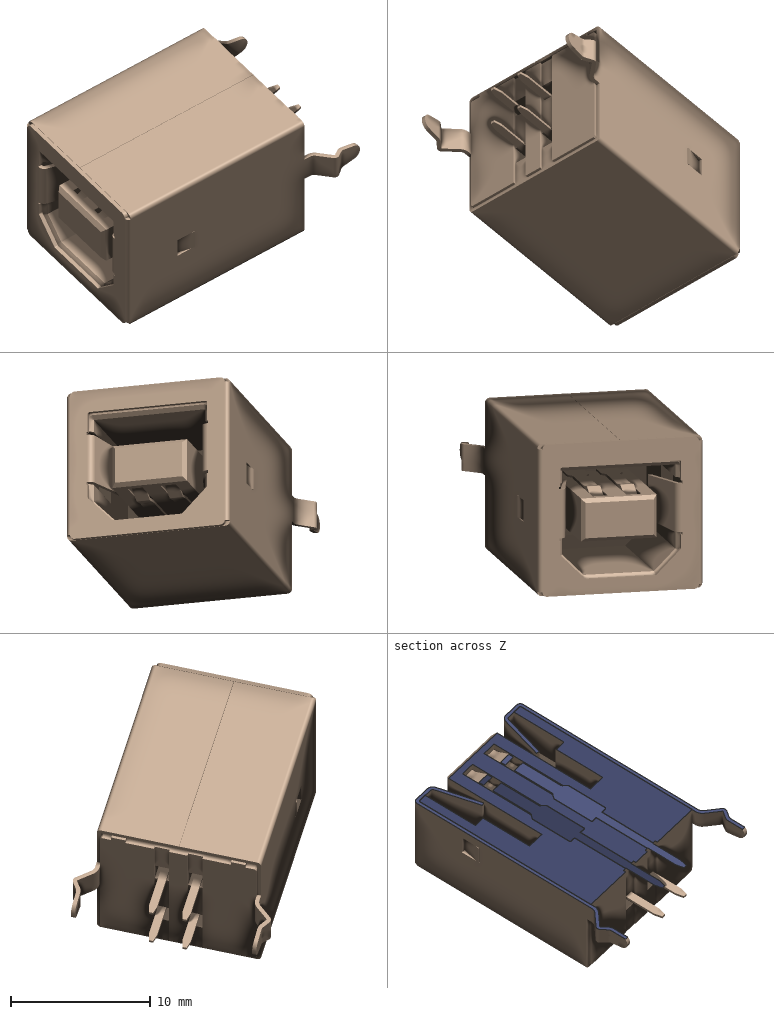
import cadquery as cq
import math


SHEET = 0.3
SHELL_WIDTH = 12.2
SHELL_HEIGHT = 11.2
SHELL_REAR = 15.91
SHELL_CORNER = 0.33
JOINT_GAP = 0.02
INNER_HALF_WIDTH = SHELL_WIDTH / 2 - SHEET
INNER_HALF_HEIGHT = SHELL_HEIGHT / 2 - SHEET

PLATE_HALF_WIDTH = INNER_HALF_WIDTH
PLATE_CORNER = 0.35
FOLD_HEIGHT = 10.53

OPENING_HALF_WIDTH = 4.47
OPENING_TOP = 3.92
OPENING_BOTTOM = -4.47
OPENING_SLOPE = 1.89
OPENING_CORNER = 0.15

SPRING_Z = 0.43
SPRING_ROOT_HEIGHT = 3.58
SPRING_TIP_HEIGHT = 3.21
SPRING_TIP_Y = 4.06
SPRING_TIP_X = 3.0
SPRING_BEND = 0.2
SPRING_BEND_X = 4.08
SPRING_ROOT_X = 5.08
RELIEF_HEIGHT = 0.2
RELIEF_DEPTH = 0.08

RETENTION_Z = 0.87
RETENTION_WIDTH = 1.97
RETENTION_TAPER_Y = 18.06
RETENTION_TIP_Y = 20.32
RETENTION_ROUND_Y = 19.8
RETENTION_TIP_WIDTH = 1.32
RETENTION_FOOT_Y = 16.7
RETENTION_KNEE = (7.25, 17.9)
RETENTION_END = (6.73, 18.65)
RETENTION_BENDS = [0.53, 0.05, 0.35]

INSULATOR_FRONT = SHEET
INSULATOR_REAR = 16.11
INSULATOR_TOP = 5.0
INSULATOR_CHAMFER = 0.12
RIB_INNER_X = 3.92
RIB_OUTER_X = 4.98

CAVITY_HALF_WIDTH = 4.19
CAVITY_TOP = 3.5
CAVITY_BOTTOM = -4.27
CAVITY_SLOPE = 1.58
CAVITY_BACK = 9.15
CAVITY_CHAMFER = 0.28

SPRING_POCKET_X = 5.08
SPRING_POCKET_BOTTOM = -1.42
SPRING_POCKET_TOP = 2.58
SPRING_POCKET_REAR = 4.88

TONGUE_WIDTH = 5.6
TONGUE_HEIGHT = 3.17
TONGUE_Z = -0.22
TONGUE_CHAMFER = 0.28

SLOT_WIDTH = 1.12
SLOT_FRONT = 1.1
SLOT_DEPTH = 0.9
WINDOW_REACH = 3.03

CATCH_FRONT = 4.5
CATCH_REAR = 6.1
CATCH_GAP = 0.06
CATCH_HEIGHT = 1.58
CATCH_Z = -0.22
CATCH_PROUD = 0.06

CONTACT_SPACING = 2.48
CONTACT_THICKNESS = 0.2
CONTACT_TIP_Y = 19.15
CONTACT_OFFSET = 1.63
CONTACT_BENDS = [0.4, 0.1, 0.5]
CONTACT_PATH = [
    (CONTACT_TIP_Y, CONTACT_OFFSET),
    (4.06, CONTACT_OFFSET),
    (3.15, 1.77),
    (1.5, 0.95),
    (1.14, 0.95),
]
BEAM_WIDTH = 1.0
SHOULDER_WIDTH = 1.58
SHOULDER_FRONT = 7.32
SHOULDER_TAPER = 0.4
SHOULDER_REAR = 11.18
PIN_WIDTH = 0.6
PIN_TIP_WIDTH = 0.3
PIN_TAPER = 0.65


def box(x_range, y_range, z_range):
    """Block spanning the given X, Y and Z ranges."""
    size = [high - low for low, high in (x_range, y_range, z_range)]
    return cq.Workplane().box(*size, centered=False).translate((x_range[0], y_range[0], z_range[0]))


def front_workplane(y):
    """Plane at the given Y whose local axes are X and Z, and whose extrusions run toward +Y."""
    return cq.Workplane(cq.Plane(origin=(0, y, 0), xDir=(1, 0, 0), normal=(0, -1, 0)))


def both_sides(solid):
    """The solid together with its mirror image in X."""
    return solid.union(solid.mirror("YZ"))


def socket_outline(plane, half_width, top, bottom, slope):
    """Rectangle whose two lower corners are cut off at 45 degrees."""
    return plane.polyline([
        (-half_width, top),
        (half_width, top),
        (half_width, bottom + slope),
        (half_width - slope, bottom),
        (slope - half_width, bottom),
        (-half_width, bottom + slope),
    ]).close()


def bent_strip(plane, path, thickness, half_width, bends):
    """Strip of sheet that follows a path in the plane, with rounded bends of the given inner radii."""
    count = len(path)
    headings = [math.atan2(b[1] - a[1], b[0] - a[0]) for a, b in zip(path, path[1:])]
    left, right, turns = [], [], []
    for i in range(count):
        before = headings[max(i - 1, 0)]
        after = headings[min(i, count - 2)]
        half_turn = (after - before) / 2
        reach = thickness / 2 / math.cos(half_turn)
        across = before + half_turn + math.pi / 2
        dx = reach * math.cos(across)
        dy = reach * math.sin(across)
        left.append((path[i][0] + dx, path[i][1] + dy))
        right.append((path[i][0] - dx, path[i][1] - dy))
        turns.append(half_turn)

    strip = cq.Workplane(plane).polyline(left + right[::-1]).close().extrude(half_width, both=True)
    for i, bend in enumerate(bends, start=1):
        inner, outer = (left[i], right[i]) if turns[i] > 0 else (right[i], left[i])
        for corner, radius in ((inner, bend), (outer, bend + thickness)):
            place = cq.Plane.named(plane).toWorldCoords(corner)
            strip = strip.edges(cq.NearestToPointSelector(place.toTuple())).fillet(radius)
    return strip


def shell_tube():
    length = SHELL_REAR - SHEET
    outside = (
        front_workplane(SHEET).rect(SHELL_WIDTH, SHELL_HEIGHT).extrude(-length)
        .edges("|Y").fillet(SHELL_CORNER)
    )
    inside = front_workplane(SHEET).rect(2 * INNER_HALF_WIDTH, 2 * INNER_HALF_HEIGHT).extrude(-length)
    seam = box(
        (-JOINT_GAP / 2, JOINT_GAP / 2),
        (SHEET, SHELL_REAR),
        (INNER_HALF_HEIGHT, SHELL_HEIGHT / 2),
    )
    front_joints = box(
        (-PLATE_HALF_WIDTH, PLATE_HALF_WIDTH),
        (SHEET, SHEET + JOINT_GAP),
        (-SHELL_HEIGHT / 2, SHELL_HEIGHT / 2),
    )
    return outside.cut(inside).cut(seam).cut(front_joints)


def front_plate():
    plate = (
        front_workplane(0).rect(2 * PLATE_HALF_WIDTH, SHELL_HEIGHT).extrude(-SHEET)
        .edges("|Y").fillet(PLATE_CORNER)
    )
    opening = (
        socket_outline(
            front_workplane(0), OPENING_HALF_WIDTH, OPENING_TOP, OPENING_BOTTOM, OPENING_SLOPE
        )
        .extrude(-SHEET).edges("|Y").fillet(OPENING_CORNER)
    )
    fold = (
        cq.Workplane().moveTo(PLATE_HALF_WIDTH, 0)
        .radiusArc((SHELL_WIDTH / 2, SHEET), -SHEET)
        .lineTo(PLATE_HALF_WIDTH, SHEET).close()
        .extrude(FOLD_HEIGHT / 2, both=True)
    )
    return plate.cut(opening).union(both_sides(fold))


def spring_reliefs():
    """Slits in the edge of the opening that free both spring tabs."""
    half = SPRING_ROOT_HEIGHT / 2
    edge = OPENING_HALF_WIDTH + RELIEF_DEPTH
    slit = box((SPRING_TIP_X, edge), (0, SHEET), (half, half + RELIEF_HEIGHT))
    slits = slit.union(slit.mirror("XY")).translate((0, 0, SPRING_Z))
    return both_sides(slits)


def spring_tabs():
    middle = SHEET / 2
    path = [
        (SPRING_ROOT_X, middle),
        (SPRING_BEND_X + middle, middle),
        (SPRING_TIP_X + middle, SPRING_TIP_Y),
    ]
    strip = bent_strip("XY", path, SHEET, SPRING_ROOT_HEIGHT / 2, [SPRING_BEND])
    root = SPRING_ROOT_HEIGHT / 2
    tip = SPRING_TIP_HEIGHT / 2
    bend_end = SHEET + SPRING_BEND
    taper = (
        cq.Workplane("YZ")
        .polyline([
            (0, -root), (bend_end, -root), (SPRING_TIP_Y + SHEET, -tip),
            (SPRING_TIP_Y + SHEET, tip), (bend_end, root), (0, root),
        ])
        .close().extrude(SHELL_WIDTH / 2)
    )
    return both_sides(strip.intersect(taper).translate((0, 0, SPRING_Z)))


def retention_tabs():
    wall_middle = SHELL_WIDTH / 2 - SHEET / 2
    root_y = SHELL_REAR - SHEET
    path = [
        (wall_middle, root_y),
        (wall_middle, RETENTION_FOOT_Y),
        RETENTION_KNEE,
        RETENTION_END,
        (RETENTION_END[0], RETENTION_TIP_Y),
    ]
    half = RETENTION_WIDTH / 2
    tip_half = RETENTION_TIP_WIDTH / 2
    strip = bent_strip("XY", path, SHEET, half, RETENTION_BENDS)
    outline = (
        cq.Workplane("YZ").moveTo(root_y, -half)
        .lineTo(RETENTION_TAPER_Y, -half)
        .lineTo(RETENTION_ROUND_Y, -tip_half)
        .threePointArc((RETENTION_TIP_Y, 0), (RETENTION_ROUND_Y, tip_half))
        .lineTo(RETENTION_TAPER_Y, half)
        .lineTo(root_y, half).close()
        .extrude(SHELL_WIDTH)
    )
    return both_sides(strip.intersect(outline).translate((0, 0, RETENTION_Z)))


def catch_windows():
    half = CATCH_HEIGHT / 2
    window = box(
        (INNER_HALF_WIDTH, SHELL_WIDTH / 2),
        (CATCH_FRONT, CATCH_REAR),
        (CATCH_Z - half, CATCH_Z + half),
    )
    return both_sides(window)


def make_shell():
    return (
        shell_tube()
        .union(front_plate())
        .cut(spring_reliefs())
        .cut(catch_windows())
        .union(spring_tabs())
        .union(retention_tabs())
    )


def insulator_block():
    y_range = (INSULATOR_FRONT, INSULATOR_REAR)
    block = box(
        (-INNER_HALF_WIDTH, INNER_HALF_WIDTH), y_range, (-INNER_HALF_HEIGHT, INSULATOR_TOP)
    ).edges("|Y").chamfer(INSULATOR_CHAMFER)
    rib = box((RIB_INNER_X, RIB_OUTER_X), y_range, (INSULATOR_TOP, INNER_HALF_HEIGHT))
    return block.union(both_sides(rib))


def socket_cavity():
    size = (CAVITY_HALF_WIDTH, CAVITY_TOP, CAVITY_BOTTOM, CAVITY_SLOPE)
    depth = CAVITY_BACK - INSULATOR_FRONT
    cavity = socket_outline(front_workplane(INSULATOR_FRONT), *size).extrude(-depth)
    mouth = (
        socket_outline(front_workplane(INSULATOR_FRONT + CAVITY_CHAMFER), *size)
        .extrude(CAVITY_CHAMFER, taper=-45)
    )
    pocket = box(
        (0, SPRING_POCKET_X),
        (INSULATOR_FRONT, SPRING_POCKET_REAR),
        (SPRING_POCKET_BOTTOM, SPRING_POCKET_TOP),
    )
    return cavity.union(mouth).union(both_sides(pocket))


def tongue():
    return (
        front_workplane(INSULATOR_FRONT).center(0, TONGUE_Z)
        .rect(TONGUE_WIDTH, TONGUE_HEIGHT).extrude(INSULATOR_FRONT - CAVITY_BACK)
        .faces("<Y").chamfer(TONGUE_CHAMFER)
    )


def contact_openings():
    """For both columns of contacts: slots in the tongue, windows through the back, rear grooves."""
    x_range = (CONTACT_SPACING / 2 - SLOT_WIDTH / 2, CONTACT_SPACING / 2 + SLOT_WIDTH / 2)
    surface = TONGUE_HEIGHT / 2
    slot = box(x_range, (SLOT_FRONT, CAVITY_BACK), (surface - SLOT_DEPTH, surface))
    window = box(x_range, (CAVITY_BACK, INSULATOR_REAR), (surface, WINDOW_REACH))
    upper = slot.union(window)
    pair = upper.union(upper.mirror("XY")).translate((0, 0, TONGUE_Z))
    groove = box(x_range, (SHELL_REAR, INSULATOR_REAR), (-INNER_HALF_HEIGHT, INNER_HALF_HEIGHT))
    return both_sides(pair.union(groove))


def catches():
    """Ramps that rise toward the rear and stand slightly proud of the shell."""
    crest = SHELL_WIDTH / 2 + CATCH_PROUD
    rear = CATCH_REAR - CATCH_GAP
    ramp = (
        cq.Workplane()
        .polyline([(INNER_HALF_WIDTH, CATCH_FRONT), (crest, rear), (INNER_HALF_WIDTH, rear)])
        .close().extrude(CATCH_HEIGHT / 2, both=True)
        .translate((0, 0, CATCH_Z))
    )
    return both_sides(ramp)


def make_insulator(contact_bodies):
    insulator = (
        insulator_block()
        .cut(socket_cavity())
        .union(tongue())
        .cut(contact_openings())
        .union(catches())
    )
    for contact in contact_bodies:
        insulator = insulator.cut(contact)
    return insulator


def contact_outline():
    """Plan shape of a contact: beam, shoulders and tapered pin."""
    steps = [
        (0, BEAM_WIDTH),
        (SHOULDER_FRONT, BEAM_WIDTH),
        (SHOULDER_FRONT + SHOULDER_TAPER, SHOULDER_WIDTH),
        (SHOULDER_REAR, SHOULDER_WIDTH),
        (SHOULDER_REAR, PIN_WIDTH),
        (CONTACT_TIP_Y - PIN_TAPER, PIN_WIDTH),
        (CONTACT_TIP_Y, PIN_TIP_WIDTH),
    ]
    right = [(width / 2, y) for y, width in steps]
    left = [(-x, y) for x, y in reversed(right)]
    return cq.Workplane().polyline(right + left).close().extrude(2 * CONTACT_OFFSET)


def make_contact(column, row):
    """Contact on the left or right (column -1 or 1) and the lower or upper side (row -1 or 1)."""
    half_width = SHOULDER_WIDTH / 2
    strip = bent_strip("YZ", CONTACT_PATH, CONTACT_THICKNESS, half_width, CONTACT_BENDS)
    contact = strip.intersect(contact_outline())
    if row < 0:
        contact = contact.mirror("XY")
    return contact.translate((column * CONTACT_SPACING / 2, 0, TONGUE_Z))


contacts = [make_contact(column, row) for column in (-1, 1) for row in (-1, 1)]
shell = make_shell()
insulator = make_insulator(contacts)

result = cq.Compound.makeCompound([
    shell.solids().val(),
    insulator.solids().val(),
    *[contact.solids().val() for contact in contacts],
])